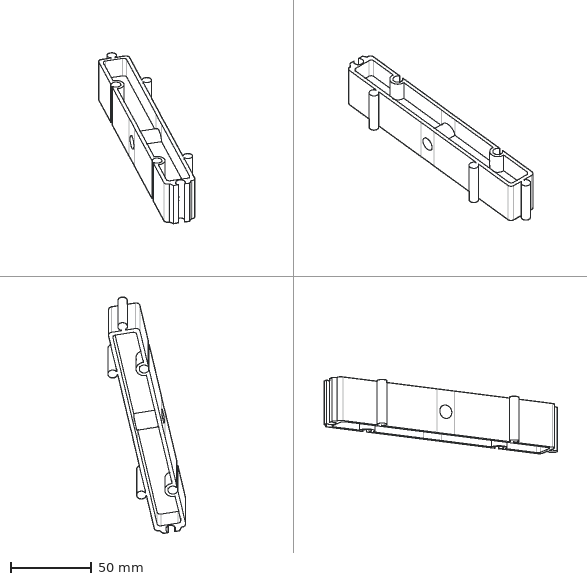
import cadquery as cq

nominal_length = 156.0
body_width = 20.0
height = 28.0
wall = 2.5
web_thickness = 2.5
outer_corner_radius = 2.5
inner_corner_radius = 2.0
lug_length = 2.5
inner_right_x = 72.0

pin_radius = 3.0
pin_offset = 2.96
neck_width = 2.5
socket_radius = 3.0
socket_offset = 3.0
socket_mouth_width = 2.7
socket_ring_radius = 5.0
side_connector_x = 46.8
end_socket_radius = 3.0
end_socket_offset = 2.3
lug_tip_half_width = 5.2
lug_root_half_width = 7.0

bore_diameter = 8.5
tube_diameter = 12.5

bow_width = 12.5
bow_depth = 0.1

left_x = -nominal_length / 2
tip_x = nominal_length / 2
right_x = tip_x - lug_length
front_y = -body_width / 2
back_y = body_width / 2


def rounded_block(x_min, x_max, width, z_size, corner_radius):
    """Block on the base plane, centred on Y, with rounded upright edges."""
    block = cq.Workplane("XY").box(x_max - x_min, width, z_size, centered=(False, True, False))
    return block.edges("|Z").fillet(corner_radius).translate((x_min, 0, 0))


def body_envelope():
    return rounded_block(left_x, right_x, body_width, height, outer_corner_radius)


def upright_cylinder(x, y, radius):
    return cq.Workplane("XY").center(x, y).circle(radius).extrude(height)


def cross_cylinder(diameter):
    """Cylinder along Y at mid height, spanning the body width."""
    plane = cq.Workplane("XZ", origin=(0, back_y, height / 2))
    return plane.circle(diameter / 2).extrude(body_width)


def frame_with_web():
    """Body with equal pockets from the top and the bottom, leaving the web between them."""
    pocket_depth = (height - web_thickness) / 2
    pocket = rounded_block(
        left_x + wall, inner_right_x, body_width - 2 * wall, pocket_depth, inner_corner_radius
    )
    top_pocket = pocket.translate((0, 0, height - pocket_depth))
    return body_envelope().cut(pocket).cut(top_pocket)


def end_lug():
    """Tapered lug on the +X end that surrounds the end socket."""
    outline = [
        (inner_right_x, -lug_root_half_width),
        (right_x, -lug_root_half_width),
        (tip_x, -lug_tip_half_width),
        (tip_x, lug_tip_half_width),
        (right_x, lug_root_half_width),
        (inner_right_x, lug_root_half_width),
    ]
    return cq.Workplane("XY").polyline(outline).close().extrude(height)


def end_pin():
    """Pin on the -X end, joined to the wall by a short neck."""
    x = left_x - pin_offset
    neck = cq.Workplane("XY").center(x + pin_offset / 2, 0).rect(pin_offset, neck_width).extrude(height)
    return upright_cylinder(x, 0, pin_radius).union(neck)


def side_pin(x):
    """Pin on the +Y side, joined to the wall by a short neck."""
    y = back_y + pin_offset
    neck = cq.Workplane("XY").center(x, y - pin_offset / 2).rect(neck_width, pin_offset).extrude(height)
    return upright_cylinder(x, y, pin_radius).union(neck)


def side_socket(x):
    """Cutter for a round socket in the -Y side with a straight mouth through the wall face."""
    mouth = cq.Workplane("XY").center(x, front_y + socket_offset / 2)
    mouth = mouth.rect(socket_mouth_width, socket_offset).extrude(height)
    return upright_cylinder(x, front_y + socket_offset, socket_radius).union(mouth)


def bow(y, inward):
    """Full-height sliver between the wall plane at y and a flat arc; inward is +1 or -1 along Y."""
    half_width = bow_width / 2
    outline = cq.Workplane("XY").moveTo(-half_width, y)
    outline = outline.threePointArc((0, y + inward * bow_depth), (half_width, y)).close()
    return outline.extrude(height)


result = frame_with_web().union(cross_cylinder(tube_diameter))
result = result.union(end_lug()).union(end_pin())

side_positions = (-side_connector_x, side_connector_x)
for x in side_positions:
    ring = upright_cylinder(x, front_y + socket_offset, socket_ring_radius).intersect(body_envelope())
    result = result.union(side_pin(x)).union(ring)

for x in side_positions:
    result = result.cut(side_socket(x))
result = result.cut(upright_cylinder(tip_x - end_socket_offset, 0, end_socket_radius))

for face_y, inward in ((front_y, 1), (back_y, -1)):
    result = result.union(bow(face_y + inward * wall, inward))
    result = result.cut(bow(face_y, inward))
result = result.cut(cross_cylinder(bore_diameter))